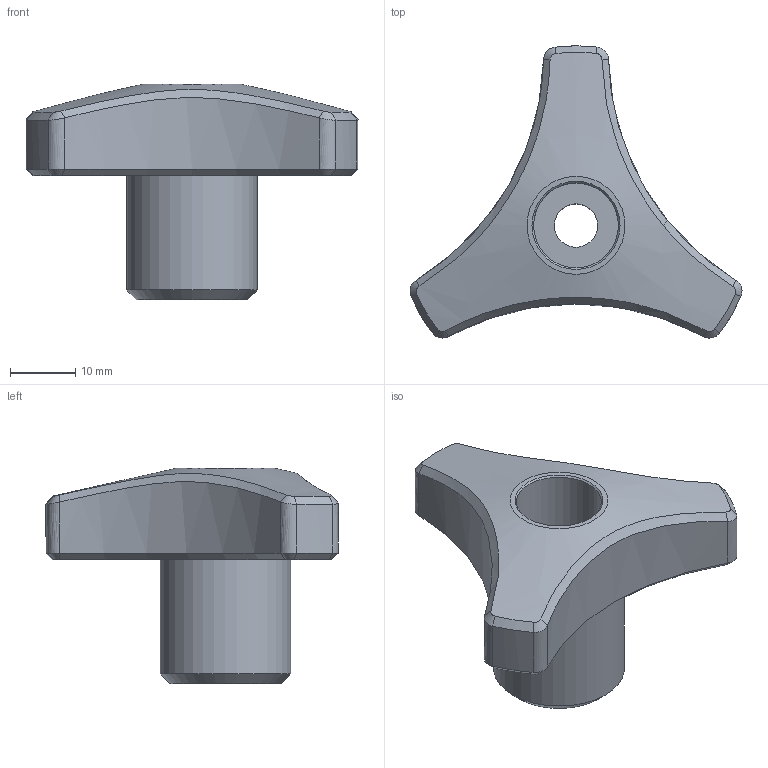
import math

import cadquery as cq

ARM_COUNT = 3
HEAD_RADIUS = 27.5
FLANK_RADIUS = 40.5
FIRST_FLANK_ANGLE = -90.0
FLANK_CLEARANCE = 12.0
TIP_FILLET = 2.0
EDGE_CHAMFER = 1.0

STEM_LENGTH = 19.0
TOTAL_HEIGHT = 33.0
HEAD_RIM_HEIGHT = 9.5
CROWN_RADIUS = 7.5

STEM_DIAMETER = 20.0
STEM_CHAMFER = 1.5

BORE_DIAMETER = 6.65
COUNTERBORE_DIAMETER = 13.0
COUNTERBORE_DEPTH = TOTAL_HEIGHT - STEM_LENGTH
COUNTERBORE_CHAMFER = 0.25


def make_head_blank():
    """Disc with a flat crown and a shallow conical top."""
    rim_z = STEM_LENGTH + HEAD_RIM_HEIGHT
    return (
        cq.Workplane("XZ")
        .moveTo(0, STEM_LENGTH)
        .lineTo(HEAD_RADIUS, STEM_LENGTH)
        .lineTo(HEAD_RADIUS, rim_z)
        .lineTo(CROWN_RADIUS, TOTAL_HEIGHT)
        .lineTo(0, TOTAL_HEIGHT)
        .close()
        .revolve(360, (0, 0, 0), (0, 1, 0))
    )


def make_head():
    """Head with concave flanks, rounded arm corners and bevelled edges."""
    flank_center_distance = FLANK_CLEARANCE + FLANK_RADIUS
    head = make_head_blank()
    for index in range(ARM_COUNT):
        angle = math.radians(FIRST_FLANK_ANGLE + index * 360.0 / ARM_COUNT)
        flank_cutter = (
            cq.Workplane("XY")
            .center(flank_center_distance * math.cos(angle), flank_center_distance * math.sin(angle))
            .circle(FLANK_RADIUS)
            .extrude(TOTAL_HEIGHT)
        )
        head = head.cut(flank_cutter)

    head = head.edges("|Z").fillet(TIP_FILLET)

    underside_edges = head.faces("<Z").edges()
    flank_edges = head.faces("%CONE").edges("not %CIRCLE")
    tip_edges = head.faces("%CONE").edges("%CIRCLE").edges("<Z")
    rim_edges = underside_edges.add(flank_edges).add(tip_edges)
    return rim_edges.chamfer(EDGE_CHAMFER)


def make_stem():
    """Round stem, bevelled at its foot."""
    return (
        cq.Workplane("XY")
        .circle(STEM_DIAMETER / 2)
        .extrude(STEM_LENGTH)
        .faces("<Z")
        .chamfer(STEM_CHAMFER)
    )


def cut_bore(body):
    """Through hole with a counterbore from the crown and a lead-in bevel."""
    body = (
        body.faces(">Z")
        .workplane(origin=(0, 0, TOTAL_HEIGHT))
        .cboreHole(BORE_DIAMETER, COUNTERBORE_DIAMETER, COUNTERBORE_DEPTH)
    )
    return body.faces(">Z").edges(cq.selectors.RadiusNthSelector(0)).chamfer(COUNTERBORE_CHAMFER)


result = cut_bore(make_head().union(make_stem()))